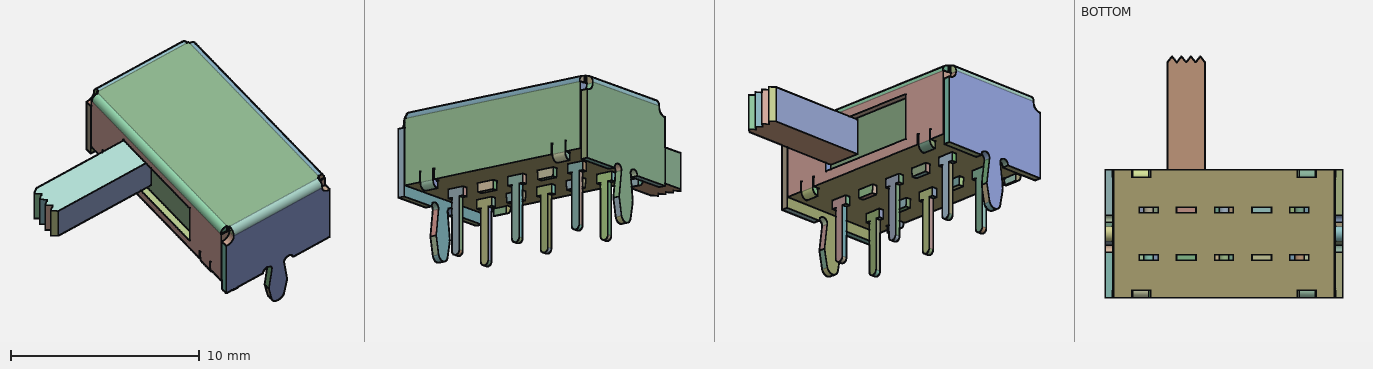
import cadquery as cq
import math

WIDTH = 12.6
DEPTH = 6.8
HEIGHT = 7.8
SHEET = 0.4
BODY_HEIGHT = 4.1

RELIEF = 0.5
RELIEF_RADIUS = 0.45
PLATE_GAP = 0.05

PLATE_HEIGHT = 4.7
LEG_BOTTOM = 7.5
NECK_HALF = 0.4
BULGE_HALF = 0.6
BULGE_BELOW_PLATE = 1.5
TIP_RISE = 0.3
NOTCH_RADIUS = 0.3

WINDOW_WIDTH = 6.0
WINDOW_TOP = 0.9
WINDOW_BOTTOM = 3.5

LEVER_SIZE = 2.0
LEVER_TOP = 1.0
LEVER_REACH = 6.0
TOOTH_COUNT = 4
TOOTH_DEPTH = 0.32

TAB_INNER = 3.98
TAB_WIDTH = 0.85
INNER_SLIT = 0.09
OUTER_SLIT = 0.05
SLIT_TOP = 3.5

PIN_PITCH = 4.0
ROW_OFFSET = 1.25
PIN_THICKNESS = 0.31
PIN_WIDTH = 0.5
SHOULDER_WIDTH = 1.0
SHOULDER_DROP = 0.5
FOOT_TOP_WIDTH = 1.08
FOOT_BOTTOM_WIDTH = 1.0

HALF_WIDTH = WIDTH / 2
HALF_DEPTH = DEPTH / 2
CORE_X = HALF_WIDTH - SHEET
CORE_Y = HALF_DEPTH - SHEET
SIDES = (-1, 1)


def block(x_range, y_range, z_range):
    """Axis-aligned box between pairs of opposite limits, given in any order."""
    (x0, x1), (y0, y1), (z0, z1) = x_range, y_range, z_range
    centre = ((x0 + x1) / 2, (y0 + y1) / 2, (z0 + z1) / 2)
    return cq.Workplane("XY").box(abs(x1 - x0), abs(y1 - y0), abs(z1 - z0)).translate(centre)


def make_body():
    """Closed body with bent top edges."""
    body = block((-HALF_WIDTH, HALF_WIDTH), (-HALF_DEPTH, HALF_DEPTH), (-BODY_HEIGHT, 0))
    return body.faces(">Z").edges().fillet(SHEET)


def make_side_plate(side):
    """Extension of a side wall below the body, ending in a snap-in leg."""
    notch_inner = NECK_HALF
    notch_outer = NECK_HALF + 2 * NOTCH_RADIUS
    notch_middle = NECK_HALF + NOTCH_RADIUS
    notch_top = -PLATE_HEIGHT + NOTCH_RADIUS
    bulge_z = -PLATE_HEIGHT - BULGE_BELOW_PLATE
    tip_z = -LEG_BOTTOM + TIP_RISE
    profile = (
        cq.Workplane("YZ", origin=(side * HALF_WIDTH, 0, 0))
        .moveTo(-HALF_DEPTH, -BODY_HEIGHT + SHEET)
        .lineTo(-HALF_DEPTH, -PLATE_HEIGHT)
        .lineTo(-notch_outer, -PLATE_HEIGHT)
        .threePointArc((-notch_middle, notch_top), (-notch_inner, -PLATE_HEIGHT))
        .lineTo(-BULGE_HALF, bulge_z)
        .lineTo(-NECK_HALF, tip_z)
        .threePointArc((0, -LEG_BOTTOM), (NECK_HALF, tip_z))
        .lineTo(BULGE_HALF, bulge_z)
        .lineTo(notch_inner, -PLATE_HEIGHT)
        .threePointArc((notch_middle, notch_top), (notch_outer, -PLATE_HEIGHT))
        .lineTo(HALF_DEPTH, -PLATE_HEIGHT)
        .lineTo(HALF_DEPTH, -BODY_HEIGHT + SHEET)
        .close()
    )
    return profile.extrude(-side * SHEET)


def make_corner_relief(x_side, y_side):
    """Space removed where the bends meet at one top corner."""
    x_core, x_out = x_side * CORE_X, x_side * HALF_WIDTH
    y_core, y_out = y_side * CORE_Y, y_side * HALF_DEPTH
    x_notch = x_side * (HALF_WIDTH - RELIEF)
    y_notch = y_side * (HALF_DEPTH - RELIEF)
    roll_gap = block((x_notch, x_out), (y_core, y_out), (-SHEET, 0))
    plate_notch = block((x_core, x_out), (y_notch, 2 * y_out - y_notch), (-SHEET - RELIEF, 0))
    plate_notch = plate_notch.edges("|X and <Z").fillet(RELIEF_RADIUS)
    return roll_gap.union(plate_notch)


def make_plate_slit(side):
    """Slit under the roof that parts a side plate from the body."""
    x_range = (side * (CORE_X - PLATE_GAP), side * CORE_X)
    return block(x_range, (-HALF_DEPTH, HALF_DEPTH), (-BODY_HEIGHT, -SHEET))


def make_window():
    """Recess through the front wall in which the lever slides."""
    half = WINDOW_WIDTH / 2
    return block((-half, half), (-HALF_DEPTH, -CORE_Y), (-WINDOW_BOTTOM, -WINDOW_TOP))


def make_lever():
    """Square lever at the left end of the window, with a toothed tip."""
    left = -WINDOW_WIDTH / 2
    tip_y = -HALF_DEPTH - LEVER_REACH
    root_y = tip_y + TOOTH_DEPTH
    pitch = LEVER_SIZE / TOOTH_COUNT
    outline = [(left, -CORE_Y), (left, root_y)]
    for tooth in range(TOOTH_COUNT):
        outline.append((left + (tooth + 0.5) * pitch, tip_y))
        outline.append((left + (tooth + 1) * pitch, root_y))
    outline.append((left + LEVER_SIZE, -CORE_Y))
    return (
        cq.Workplane("XY", origin=(0, 0, -LEVER_TOP))
        .polyline(outline)
        .close()
        .extrude(-LEVER_SIZE)
    )


def make_tab_slits(x_side, y_side):
    """Two slits through a wall that set a crimp tab free."""
    inner = x_side * TAB_INNER
    outer = x_side * (TAB_INNER + TAB_WIDTH)
    y_range = (y_side * CORE_Y, y_side * HALF_DEPTH)
    z_range = (-BODY_HEIGHT, -SLIT_TOP)
    inner_slit = block((inner - x_side * INNER_SLIT, inner), y_range, z_range)
    outer_slit = block((outer, outer + x_side * OUTER_SLIT), y_range, z_range)
    return inner_slit.union(outer_slit)


def make_tab(x_side, y_side):
    """Quarter-round bend of a crimp tab under the body."""
    y_core, y_out = y_side * CORE_Y, y_side * HALF_DEPTH
    mid = SHEET * math.sqrt(0.5)
    return (
        cq.Workplane("YZ", origin=(x_side * TAB_INNER, 0, 0))
        .moveTo(y_core, -BODY_HEIGHT)
        .lineTo(y_out, -BODY_HEIGHT)
        .threePointArc((y_core + y_side * mid, -BODY_HEIGHT - mid), (y_core, -BODY_HEIGHT - SHEET))
        .close()
        .extrude(x_side * TAB_WIDTH)
    )


def make_pin(x, y):
    """Flat terminal pin with shoulders and a round tip."""
    half_shoulder = SHOULDER_WIDTH / 2
    half_pin = PIN_WIDTH / 2
    shoulder_z = -BODY_HEIGHT - SHOULDER_DROP
    tip_z = -HEIGHT + half_pin
    return (
        cq.Workplane("XZ", origin=(x, y + PIN_THICKNESS / 2, 0))
        .moveTo(-half_shoulder, -BODY_HEIGHT)
        .lineTo(-half_shoulder, shoulder_z)
        .lineTo(-half_pin, shoulder_z)
        .lineTo(-half_pin, tip_z)
        .threePointArc((0, -HEIGHT), (half_pin, tip_z))
        .lineTo(half_pin, shoulder_z)
        .lineTo(half_shoulder, shoulder_z)
        .lineTo(half_shoulder, -BODY_HEIGHT)
        .close()
        .extrude(PIN_THICKNESS)
    )


def make_foot(x, y):
    """Flat tapered foot between two pins of a row."""
    half_top = FOOT_TOP_WIDTH / 2
    half_bottom = FOOT_BOTTOM_WIDTH / 2
    bottom_z = -BODY_HEIGHT - SHOULDER_DROP
    return (
        cq.Workplane("XZ", origin=(x, y + PIN_THICKNESS / 2, 0))
        .moveTo(-half_top, -BODY_HEIGHT)
        .lineTo(-half_bottom, bottom_z)
        .lineTo(half_bottom, bottom_z)
        .lineTo(half_top, -BODY_HEIGHT)
        .close()
        .extrude(PIN_THICKNESS)
    )


result = make_body()
for x_side in SIDES:
    result = result.cut(make_plate_slit(x_side))
    for y_side in SIDES:
        result = result.cut(make_corner_relief(x_side, y_side))
        result = result.cut(make_tab_slits(x_side, y_side))
        result = result.union(make_tab(x_side, y_side))
        result = result.union(make_foot(x_side * PIN_PITCH / 2, y_side * ROW_OFFSET))
    result = result.union(make_side_plate(x_side))

for column in (-1, 0, 1):
    for row in SIDES:
        result = result.union(make_pin(column * PIN_PITCH, row * ROW_OFFSET))

result = result.cut(make_window())
result = result.union(make_lever())